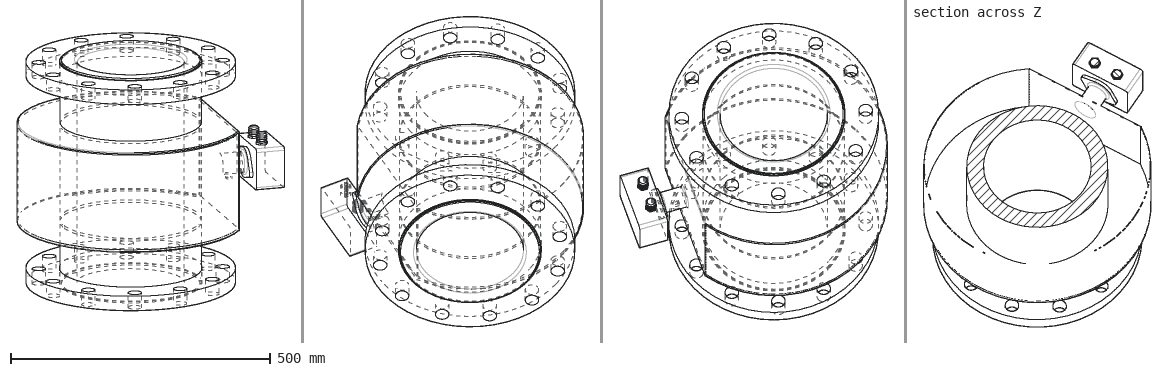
import cadquery as cq
import math


total_height = 450.0
tube_diameter = 273.0
bore_diameter = 206.5
bore_mouth_diameter = 218.0
raised_face_diameter = 268.0
raised_face_height = 3.5

flange_diameter = 405.0
flange_thickness = 29.0
flange_bore_diameter = 275.5
bolt_circle_diameter = 355.0
bolt_hole_diameter = 26.0
bolt_count = 12

drum_diameter = 439.0
drum_height = 200.0
drum_flat_distance = 180.0
drum_edge_radius = 2.0
drum_wall = 2.0
drum_end_wall = 5.0

overall_depth = 511.0
box_width = 124.5
box_depth = 56.5
box_height = 82.5
box_edge_radius = 6.0

neck_diameter = 41.0
neck_plate_fillet = 4.0
neck_drum_fillet = 3.0
plate_thickness = 6.5
plate_center_radius = 29.5
plate_lobe_radius = 8.0
plate_lobe_distance = 34.0
plate_tilt = -25.0
lug_size = 10.0
lug_reach = 29.5
lug_from_flat = 18.5

connector_spacing = 50.0
connector_from_box_back = 35.0
connector_hex_flats = 20.0
connector_hex_height = 3.5
hex_sides = 6
hex_turn = 180 / hex_sides
connector_height = 21.5
connector_core_diameter = 18.0
thread_diameter = 20.0
thread_start_height = 7.0
thread_pitch = 3.5
thread_turns = 3
thread_tip_diameter = 15.0

flange_face_z = total_height / 2 - raised_face_height
box_back_y = overall_depth - drum_diameter / 2
box_front_y = box_back_y - box_depth
plate_front_y = box_front_y - plate_thickness
connector_y = box_back_y - connector_from_box_back


def cylinder(diameter, height):
    """Cylinder on the flow axis, centred on the origin."""
    return cq.Workplane("XY").cylinder(height, diameter / 2)


def flat_sided_drum(diameter, height, flat_distance):
    """Cylinder on the flow axis with one flat facing +Y."""
    beyond_flat = cq.Workplane("XY").box(diameter, diameter, height)
    beyond_flat = beyond_flat.translate((0, flat_distance + diameter / 2, 0))
    return cylinder(diameter, height).cut(beyond_flat)


def make_drum_shell():
    outside = flat_sided_drum(drum_diameter, drum_height, drum_flat_distance)
    outside = outside.faces("|Z").edges().fillet(drum_edge_radius)
    cavity = flat_sided_drum(
        drum_diameter - 2 * drum_wall,
        drum_height - 2 * drum_end_wall,
        drum_flat_distance - drum_wall,
    )
    return outside.cut(cavity)


def make_tube():
    tube = cylinder(tube_diameter, 2 * flange_face_z)
    return tube.union(cylinder(raised_face_diameter, total_height))


def cut_bore(body):
    """Bore through the tube with a rounded mouth at both ends."""
    body = body.cut(cylinder(bore_diameter, total_height))
    mouth_radius = (bore_mouth_diameter - bore_diameter) / 2
    mouth_edges = cq.selectors.RadiusNthSelector(0)
    return body.faces("<Z or >Z").edges(mouth_edges).fillet(mouth_radius)


def make_plate():
    """Oval plate: a central disc joined to two smaller lobes by straight tangents."""
    tangent_angle = math.acos((plate_center_radius - plate_lobe_radius) / plate_lobe_distance)
    across = math.cos(tangent_angle)
    along = math.sin(tangent_angle)
    disc_x, disc_y = plate_center_radius * across, plate_center_radius * along
    lobe_x = plate_lobe_distance + plate_lobe_radius * across
    lobe_y = plate_lobe_radius * along
    lobe_tip_x = plate_lobe_distance + plate_lobe_radius
    plate = (
        cq.Workplane("XZ", origin=(0, box_front_y, 0))
        .moveTo(disc_x, disc_y)
        .threePointArc((0, plate_center_radius), (-disc_x, disc_y))
        .lineTo(-lobe_x, lobe_y)
        .threePointArc((-lobe_tip_x, 0), (-lobe_x, -lobe_y))
        .lineTo(-disc_x, -disc_y)
        .threePointArc((0, -plate_center_radius), (disc_x, -disc_y))
        .lineTo(lobe_x, -lobe_y)
        .threePointArc((lobe_tip_x, 0), (lobe_x, lobe_y))
        .close()
        .extrude(plate_thickness)
    )
    return plate.rotate((0, 0, 0), (0, 1, 0), -plate_tilt)


def make_neck():
    """Neck from the drum flat to the plate, flared by a concave fillet at both ends."""
    radius = neck_diameter / 2
    diagonal = 1 - math.sqrt(0.5)
    root_y = drum_flat_distance - drum_wall
    return (
        cq.Workplane("XY")
        .moveTo(0, root_y)
        .lineTo(radius + neck_drum_fillet, root_y)
        .lineTo(radius + neck_drum_fillet, drum_flat_distance)
        .threePointArc(
            (radius + neck_drum_fillet * diagonal, drum_flat_distance + neck_drum_fillet * diagonal),
            (radius, drum_flat_distance + neck_drum_fillet),
        )
        .lineTo(radius, plate_front_y - neck_plate_fillet)
        .threePointArc(
            (radius + neck_plate_fillet * diagonal, plate_front_y - neck_plate_fillet * diagonal),
            (radius + neck_plate_fillet, plate_front_y),
        )
        .lineTo(0, plate_front_y)
        .close()
        .revolve(360, (0, 0, 0), (0, 1, 0))
    )


def make_lug():
    """Square lug hanging from the underside of the neck."""
    lug = cq.Workplane("XY").box(lug_size, lug_size, lug_reach, centered=(True, True, False))
    return lug.translate((0, drum_flat_distance + lug_from_flat, -lug_reach))


def make_housing():
    """Tube, drum, neck, plate and lug as one welded body."""
    housing = cut_bore(make_drum_shell().union(make_tube()))
    return housing.union(make_neck()).union(make_plate()).union(make_lug())


def make_flange(side):
    """Bolted ring around one end of the tube, with a narrow gap, flush with the tube's shoulder."""
    first_hole_angle = 180 / bolt_count
    return (
        cq.Workplane("XY")
        .circle(flange_diameter / 2)
        .circle(flange_bore_diameter / 2)
        .extrude(flange_thickness)
        .faces(">Z")
        .workplane(origin=(0, 0, 0))
        .polarArray(bolt_circle_diameter / 2, first_hole_angle, 360, bolt_count)
        .hole(bolt_hole_diameter)
        .translate((0, 0, side * (flange_face_z - flange_thickness / 2) - flange_thickness / 2))
    )


def make_box():
    """Sensor box with its four edges along Y rounded."""
    box = cq.Workplane("XY").box(box_width, box_depth, box_height).edges("|Y").fillet(box_edge_radius)
    return box.translate((0, box_back_y - box_depth / 2, 0))


def make_connector(x):
    """Hexagonal foot carrying a plain core, a thread of stacked ridges and a tapered tip."""
    corner_diameter = connector_hex_flats / math.cos(math.pi / hex_sides)
    foot = cq.Workplane("XY").polygon(hex_sides, corner_diameter).extrude(connector_hex_height)
    foot = foot.rotate((0, 0, 0), (0, 0, 1), hex_turn)
    core_radius = connector_core_diameter / 2
    crest_radius = thread_diameter / 2
    profile = (
        cq.Workplane("XZ")
        .lineTo(core_radius, 0)
        .lineTo(core_radius, thread_start_height)
        .lineTo(crest_radius, thread_start_height)
    )
    for turn in range(thread_turns):
        crest_z = thread_start_height + turn * thread_pitch
        valley = (core_radius, crest_z + thread_pitch / 2)
        profile = profile.threePointArc(valley, (crest_radius, crest_z + thread_pitch))
    stem = (
        profile.lineTo(thread_tip_diameter / 2, connector_height)
        .lineTo(0, connector_height)
        .close()
        .revolve(360, (0, 0, 0), (0, 1, 0))
    )
    return foot.union(stem).translate((x, connector_y, box_height / 2))


housing = make_housing()
flanges = [make_flange(side) for side in (-1, 1)]
sensor_box = make_box()
connectors = [make_connector(side * connector_spacing / 2) for side in (-1, 1)]

result = cq.Compound.makeCompound(
    [
        housing.val(),
        *[flange.val() for flange in flanges],
        sensor_box.val(),
        *[connector.val() for connector in connectors],
    ]
)